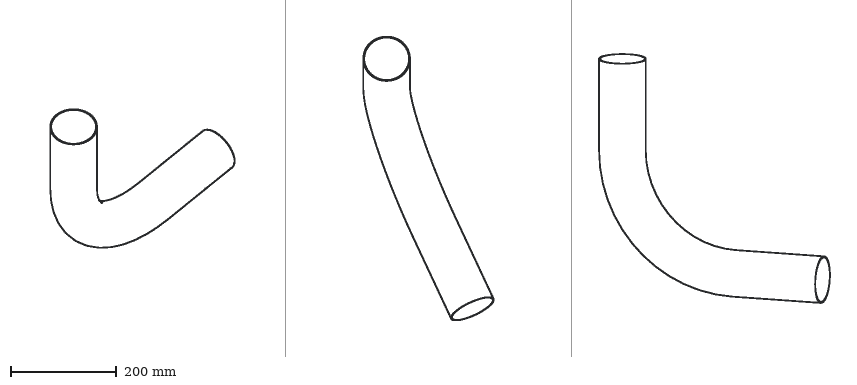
import cadquery as cq
import math

outer_diameter = 88.9
inner_diameter = 84.68
overall_length = 444.5
leg_length = 2.0 * outer_diameter

leg_end = overall_length - outer_diameter / 2.0
bend_radius = leg_end - leg_length
bend_middle = bend_radius * (1.0 - math.sqrt(0.5))


def pipe_centreline():
    """Straight down -Z, quarter bend, then straight out along +Y."""
    return (
        cq.Workplane("YZ")
        .moveTo(0, leg_end)
        .lineTo(0, bend_radius)
        .threePointArc((bend_middle, bend_middle), (bend_radius, 0))
        .lineTo(leg_end, 0)
    )


def pipe_wall():
    """Sweep the ring-shaped wall section from the upper open end."""
    return (
        cq.Workplane("XY", origin=(0, 0, leg_end))
        .circle(outer_diameter / 2.0)
        .circle(inner_diameter / 2.0)
        .sweep(pipe_centreline())
    )


result = pipe_wall()